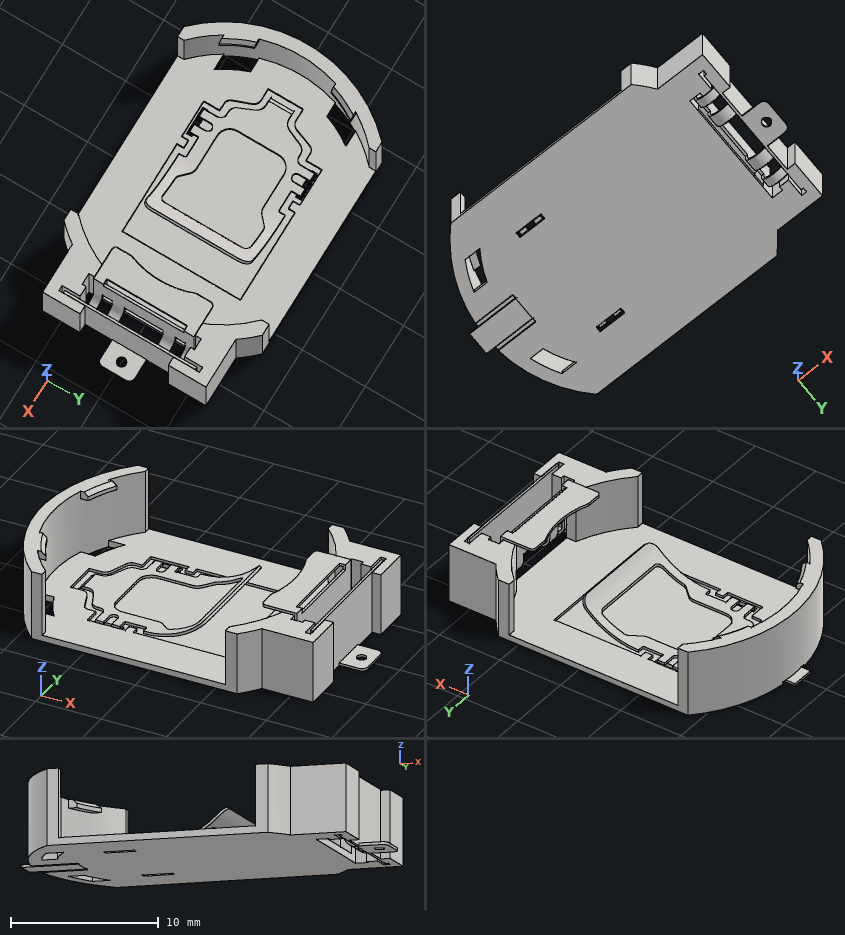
import cadquery as cq
import math


SHEET = 0.2
FLOOR_TOP = 0.5
RECESS_FLOOR = FLOOR_TOP - SHEET
THROUGH = 20.0

HALF_WIDTH = 7.85
OUTER_RADIUS = 11.0
INNER_RADIUS = 10.05
LEFT_WALL_TOP = 5.31
RIGHT_WALL_TOP = 4.75
LEFT_WALL_END = -6.88
RIGHT_WALL_START = 7.1
RIGHT_OUTER_RADIUS = 11.1
RIGHT_SHIFT = 0.15

BLOCK_HALF_WIDTH = 6.47
BLOCK_START = 8.0
BLOCK_END = 13.09
CAVITY_START = 10.35
CAVITY_HALF_WIDTH = 4.13
NOTCH_END = 11.23
NOTCH_HALF_WIDTH = 4.44
SLOT_START = 12.01
SLOT_END = 12.42
SLOT_HALF_WIDTH = 5.55
MOUTH_HALF_WIDTH = 3.49

LIP_NEAR = 3.03
LIP_FAR = 5.21
LIP_TOP_RADIUS = 9.8
LIP_NOSE_RADIUS = 9.5
LIP_SLOPE_DROP = 0.3
LIP_NOSE_HEIGHT = 0.3
LIP_OPENING_RADIUS = 9.0

RECESS_START = -8.07
RECESS_END = 5.61
RECESS_NECK_HALF_WIDTH = 1.38
RECESS_SHOULDER_HALF_WIDTH = 3.41
RECESS_HALF_WIDTH = 4.67
RECESS_NECK_END = -6.75
RECESS_SHOULDER_START = -5.99
RECESS_BODY_START = -5.08
RECESS_KEY_START = -2.18
RECESS_KEY_END = -1.57
RECESS_KEY_TIP = 4.13
RECESS_NECK_FILLET = 0.6
RECESS_SHOULDER_FILLET = 0.5
LEG_HOLE_START = -4.71
LEG_HOLE_END = -2.57
LEG_HOLE_NEAR = 4.11
LEG_HOLE_FAR = 4.52
CHANNEL_HALF_WIDTH = 1.23

TAIL_END = -11.71
TAIL_HALF_WIDTH = 0.92
RAMP_TOP = -7.35
RAMP_LENGTH = 0.42
RAMP_OFFSET = 0.1
NECK_END = -6.52
NECK_FILLET = 0.75
SHOULDER_START = -5.67
SHOULDER_HALF_WIDTH = 2.86
SHOULDER_FILLET = 0.6
LEGS_START = -4.61
LEGS_END = -2.73
LEGS_TIP = 4.4
LEGS_FILLET = 0.45
LEG_SLOT_START = -3.99
LEG_SLOT_END = -3.36
LEG_SLOT_BOTTOM = 3.18
LEG_SLOT_ROUNDING = 0.98
WAIST_HALF_WIDTH = 3.67
WING_FILLET = 0.12
WING_START = -1.05
BEND_START = -0.95
BEND_RADIUS = 6.15
BEND_ANGLE = math.radians(52)
SPRING_HALF_WIDTH = 4.2
SPRING_TIP_RADIUS = 0.85
SPRING_OPENING_START = -4.46
SPRING_OPENING_END = 2.70
SPRING_OPENING_NEAR_HALF_WIDTH = 2.64
SPRING_OPENING_FAR_HALF_WIDTH = 3.49
SPRING_OPENING_FLARE_START = -0.47
SPRING_OPENING_FLARE_END = 0.45
SPRING_OPENING_NEAR_FILLET = 1.0
SPRING_OPENING_FLARE_START_FILLET = 0.8
SPRING_OPENING_FLARE_END_FILLET = 0.5
SPRING_OPENING_FAR_FILLET = 0.45

PLATE_BOTTOM = 4.8
PLATE_TOP = PLATE_BOTTOM + SHEET
PLATE_START = 7.84
PLATE_HALF_WIDTH = 3.97
PLATE_CORNER = 0.3
FRONT_SCOOP_HALF_WIDTH = 2.56
FRONT_SCOOP_DEPTH = 0.49
WINDOW_START = 10.1
WINDOW_HALF_WIDTH = 3.18
WINDOW_SILL = PLATE_BOTTOM - SHEET
INNER_LEG_START = CAVITY_START
BACK_PLATE_START = SLOT_END - SHEET
BACK_PLATE_HALF_WIDTH = 5.22
STRIP_TOP = 2.12
STRIP_BEND_Z = 1.58
STRIPS = [(1.53, 2.48), (3.28, PLATE_HALF_WIDTH)]
TERMINAL_END = 14.39
TERMINAL_HALF_WIDTH = 1.37
TERMINAL_CORNER = 0.45
TERMINAL_HOLE_X = 13.43
TERMINAL_HOLE_DIAMETER = 0.68


def box(x0, x1, y0, y1, z0, z1):
    return cq.Workplane("XY").box(x1 - x0, y1 - y0, z1 - z0, centered=False).translate((x0, y0, z0))


def centred_box(x0, x1, half_width, z0, z1):
    return box(x0, x1, -half_width, half_width, z0, z1)


def cylinder(radius, z0, z1, x=0.0):
    return cq.Workplane("XY").circle(radius).extrude(z1 - z0).translate((x, 0, z0))


def rounded_prism(corners, z0, z1):
    """Extrude a closed polygon whose corners are (x, y, corner radius), with 0 for a sharp corner."""
    path = None
    for i, (x, y, radius) in enumerate(corners):
        before = cq.Vector(*corners[i - 1][:2])
        after = cq.Vector(*corners[(i + 1) % len(corners)][:2])
        corner = cq.Vector(x, y)
        back = (before - corner).normalized()
        ahead = (after - corner).normalized()
        half_angle = back.getAngle(ahead) / 2
        setback = radius / math.tan(half_angle)
        start = (corner + back * setback).toTuple()[:2]
        path = cq.Workplane("XY").moveTo(*start) if path is None else path.lineTo(*start)
        if radius > 0:
            bisector = (back + ahead).normalized()
            middle = corner + bisector * (radius / math.sin(half_angle) - radius)
            end = (corner + ahead * setback).toTuple()[:2]
            path = path.threePointArc(middle.toTuple()[:2], end)
    return path.close().extrude(z1 - z0).translate((0, 0, z0))


def symmetric_prism(half_corners, z0, z1):
    """Prism mirrored about the X axis, from the corners on its +Y side."""
    mirrored = [(x, -y, radius) for x, y, radius in reversed(half_corners)]
    return rounded_prism(half_corners + mirrored, z0, z1)


def left_wall():
    ring = cylinder(OUTER_RADIUS, 0, LEFT_WALL_TOP).cut(cylinder(INNER_RADIUS, 0, LEFT_WALL_TOP))
    return ring.intersect(centred_box(-THROUGH, LEFT_WALL_END, HALF_WIDTH, 0, LEFT_WALL_TOP))


def right_wall_and_block():
    disc = cylinder(RIGHT_OUTER_RADIUS, 0, RIGHT_WALL_TOP, RIGHT_SHIFT)
    wall = disc.intersect(centred_box(RIGHT_WALL_START, THROUGH, HALF_WIDTH, 0, RIGHT_WALL_TOP))
    block = centred_box(BLOCK_START, BLOCK_END, BLOCK_HALF_WIDTH, 0, RIGHT_WALL_TOP)
    cell_space = cylinder(INNER_RADIUS, FLOOR_TOP, RIGHT_WALL_TOP, RIGHT_SHIFT)
    return wall.union(block).cut(cell_space)


def floor_plate():
    left = cylinder(OUTER_RADIUS, 0, FLOOR_TOP).intersect(
        centred_box(-THROUGH, 0, HALF_WIDTH, 0, FLOOR_TOP))
    return left.union(centred_box(0, RIGHT_WALL_START, HALF_WIDTH, 0, FLOOR_TOP))


def clip_space():
    pocket = centred_box(CAVITY_START, SLOT_END, CAVITY_HALF_WIDTH, 0, RIGHT_WALL_TOP)
    notch = centred_box(CAVITY_START, NOTCH_END, NOTCH_HALF_WIDTH, 0, RIGHT_WALL_TOP)
    slot = centred_box(SLOT_START, SLOT_END, SLOT_HALF_WIDTH, 0, RIGHT_WALL_TOP)
    front_mouth = centred_box(BLOCK_START, CAVITY_START, MOUTH_HALF_WIDTH, FLOOR_TOP, RIGHT_WALL_TOP)
    back_mouth = centred_box(SLOT_END, BLOCK_END, MOUTH_HALF_WIDTH, 0, RIGHT_WALL_TOP)
    return pocket.union(notch).union(slot).union(front_mouth).union(back_mouth)


def lip_sector(side, z0, z1):
    """Left-hand region between the two ends of the lip on one side (+1 or -1)."""
    y0, y1 = sorted((side * LIP_NEAR, side * LIP_FAR))
    return box(-OUTER_RADIUS, 0, y0, y1, z0, z1)


def lip(side):
    wall_middle = (INNER_RADIUS + OUTER_RADIUS) / 2
    slope_end = LEFT_WALL_TOP - LIP_SLOPE_DROP
    nose_bottom = slope_end - LIP_NOSE_HEIGHT
    section = [
        (wall_middle, LEFT_WALL_TOP),
        (LIP_TOP_RADIUS, LEFT_WALL_TOP),
        (LIP_NOSE_RADIUS, slope_end),
        (LIP_NOSE_RADIUS, nose_bottom),
        (wall_middle, nose_bottom),
    ]
    ring = cq.Workplane("XZ").polyline(section).close().revolve(360, (0, 0, 0), (0, 1, 0))
    return ring.intersect(lip_sector(side, 0, LEFT_WALL_TOP))


def lip_opening(side):
    ring = cylinder(INNER_RADIUS, 0, FLOOR_TOP).cut(cylinder(LIP_OPENING_RADIUS, 0, FLOOR_TOP))
    return ring.intersect(lip_sector(side, 0, FLOOR_TOP))


def contact_recess():
    half_outline = [
        (RECESS_START, RECESS_NECK_HALF_WIDTH, 0),
        (RECESS_NECK_END, RECESS_NECK_HALF_WIDTH, RECESS_NECK_FILLET),
        (RECESS_SHOULDER_START, RECESS_SHOULDER_HALF_WIDTH, RECESS_SHOULDER_FILLET),
        (RECESS_BODY_START, RECESS_SHOULDER_HALF_WIDTH, 0),
        (RECESS_BODY_START, RECESS_HALF_WIDTH, 0),
        (RECESS_KEY_START, RECESS_HALF_WIDTH, 0),
        (RECESS_KEY_START, RECESS_KEY_TIP, 0),
        (RECESS_KEY_END, RECESS_KEY_TIP, 0),
        (RECESS_KEY_END, RECESS_HALF_WIDTH, 0),
        (RECESS_END, RECESS_HALF_WIDTH, 0),
    ]
    return symmetric_prism(half_outline, RECESS_FLOOR, FLOOR_TOP)


def leg_hole(side):
    y0, y1 = sorted((side * LEG_HOLE_NEAR, side * LEG_HOLE_FAR))
    return box(LEG_HOLE_START, LEG_HOLE_END, y0, y1, 0, FLOOR_TOP)


def tail_channel():
    channel_end = RAMP_TOP - RAMP_LENGTH + RAMP_OFFSET
    return centred_box(-THROUGH, channel_end, CHANNEL_HALF_WIDTH, 0, SHEET)


def clip_plate():
    plate = (
        cq.Workplane("XY", origin=(0, 0, PLATE_BOTTOM))
        .moveTo(PLATE_START, -FRONT_SCOOP_HALF_WIDTH)
        .threePointArc((PLATE_START + FRONT_SCOOP_DEPTH, 0), (PLATE_START, FRONT_SCOOP_HALF_WIDTH))
        .lineTo(PLATE_START, PLATE_HALF_WIDTH)
        .lineTo(INNER_LEG_START + SHEET, PLATE_HALF_WIDTH)
        .lineTo(INNER_LEG_START + SHEET, -PLATE_HALF_WIDTH)
        .lineTo(PLATE_START, -PLATE_HALF_WIDTH)
        .close()
        .extrude(SHEET)
    )
    return plate.edges("|Z and <X").edges("<Y or >Y").fillet(PLATE_CORNER)


def clip_strip(y0, y1):
    """U-shaped strip from the inner leg down, round and up to the back plate."""
    x0 = INNER_LEG_START
    x1 = INNER_LEG_START + SHEET
    x2 = BACK_PLATE_START
    x3 = SLOT_END
    middle = (x0 + x3) / 2
    outer_bottom = STRIP_BEND_Z - (x3 - x0) / 2
    inner_bottom = STRIP_BEND_Z - (x2 - x1) / 2
    return (
        cq.Workplane("XZ", origin=(0, y1, 0))
        .moveTo(x0, STRIP_TOP)
        .lineTo(x0, STRIP_BEND_Z)
        .threePointArc((middle, outer_bottom), (x3, STRIP_BEND_Z))
        .lineTo(x3, STRIP_TOP)
        .lineTo(x2, STRIP_TOP)
        .lineTo(x2, STRIP_BEND_Z)
        .threePointArc((middle, inner_bottom), (x1, STRIP_BEND_Z))
        .lineTo(x1, STRIP_TOP)
        .close()
        .extrude(y1 - y0)
    )


def terminal():
    tab = centred_box(BACK_PLATE_START, TERMINAL_END, TERMINAL_HALF_WIDTH, 0, SHEET)
    tab = tab.edges("|Z and >X").fillet(TERMINAL_CORNER)
    return tab.cut(cylinder(TERMINAL_HOLE_DIAMETER / 2, 0, SHEET, TERMINAL_HOLE_X))


def make_clip():
    leg_end = INNER_LEG_START + SHEET
    inner_leg = centred_box(INNER_LEG_START, leg_end, PLATE_HALF_WIDTH, STRIP_TOP, PLATE_BOTTOM)
    window = centred_box(WINDOW_START, leg_end, WINDOW_HALF_WIDTH, WINDOW_SILL, PLATE_TOP)
    back_plate = centred_box(BACK_PLATE_START, SLOT_END, BACK_PLATE_HALF_WIDTH, 0, PLATE_BOTTOM)
    clip = clip_plate().union(inner_leg).cut(window).union(back_plate).union(terminal())
    for y0, y1 in STRIPS:
        clip = clip.union(clip_strip(y0, y1)).union(clip_strip(-y1, -y0))
    return clip


def spring_sheet():
    """Side profile of the bent sheet, extruded over the full width."""
    ramp_end = RAMP_TOP - RAMP_LENGTH
    centre_z = RECESS_FLOOR + BEND_RADIUS

    def on_curl(radius, angle):
        return (BEND_START + radius * math.sin(angle), centre_z - radius * math.cos(angle))

    upper_radius = BEND_RADIUS - SHEET
    return (
        cq.Workplane("XZ", origin=(0, THROUGH / 2, 0))
        .moveTo(TAIL_END, 0)
        .lineTo(ramp_end + RAMP_OFFSET, 0)
        .lineTo(RAMP_TOP + RAMP_OFFSET, RECESS_FLOOR)
        .lineTo(BEND_START, RECESS_FLOOR)
        .threePointArc(on_curl(BEND_RADIUS, BEND_ANGLE / 2), on_curl(BEND_RADIUS, BEND_ANGLE))
        .lineTo(*on_curl(upper_radius, BEND_ANGLE))
        .threePointArc(on_curl(upper_radius, BEND_ANGLE / 2), (BEND_START, FLOOR_TOP))
        .lineTo(RAMP_TOP, FLOOR_TOP)
        .lineTo(ramp_end, SHEET)
        .lineTo(TAIL_END, SHEET)
        .close()
        .extrude(THROUGH)
    )


def spring_outline():
    slot_fillet = LEG_SLOT_ROUNDING * (LEG_SLOT_END - LEG_SLOT_START) / 2
    half_outline = [
        (TAIL_END, TAIL_HALF_WIDTH, 0),
        (NECK_END, TAIL_HALF_WIDTH, NECK_FILLET),
        (SHOULDER_START, SHOULDER_HALF_WIDTH, SHOULDER_FILLET),
        (LEGS_START, SHOULDER_HALF_WIDTH, LEGS_FILLET),
        (LEGS_START, LEGS_TIP, 0),
        (LEG_SLOT_START, LEGS_TIP, 0),
        (LEG_SLOT_START, LEG_SLOT_BOTTOM, slot_fillet),
        (LEG_SLOT_END, LEG_SLOT_BOTTOM, slot_fillet),
        (LEG_SLOT_END, LEGS_TIP, 0),
        (LEGS_END, LEGS_TIP, 0),
        (LEGS_END, WAIST_HALF_WIDTH, 0),
        (WING_START, WAIST_HALF_WIDTH, WING_FILLET),
        (WING_START, SPRING_HALF_WIDTH, 0),
        (THROUGH, SPRING_HALF_WIDTH, 0),
    ]
    return symmetric_prism(half_outline, 0, THROUGH)


def spring_opening():
    half_outline = [
        (SPRING_OPENING_START, SPRING_OPENING_NEAR_HALF_WIDTH, SPRING_OPENING_NEAR_FILLET),
        (SPRING_OPENING_FLARE_START, SPRING_OPENING_NEAR_HALF_WIDTH, SPRING_OPENING_FLARE_START_FILLET),
        (SPRING_OPENING_FLARE_END, SPRING_OPENING_FAR_HALF_WIDTH, SPRING_OPENING_FLARE_END_FILLET),
        (SPRING_OPENING_END, SPRING_OPENING_FAR_HALF_WIDTH, SPRING_OPENING_FAR_FILLET),
    ]
    return symmetric_prism(half_outline, 0, THROUGH)


def make_spring_contact():
    spring = spring_sheet().intersect(spring_outline())
    tip = spring.faces(cq.selectors.DirectionMinMaxSelector(cq.Vector(1, 0, 1)))
    spring = tip.edges("<Y or >Y").fillet(SPRING_TIP_RADIUS)
    return spring.cut(spring_opening())


def make_housing(spring):
    housing = floor_plate().union(right_wall_and_block()).union(left_wall())
    housing = housing.cut(contact_recess()).cut(tail_channel()).cut(clip_space())
    for side in (1, -1):
        housing = housing.cut(lip_opening(side)).cut(leg_hole(side)).union(lip(side))
    return housing.cut(spring).union(make_clip())


spring_contact = make_spring_contact()
housing = make_housing(spring_contact)

result = cq.Compound.makeCompound([housing.solids().val(), spring_contact.solids().val()])